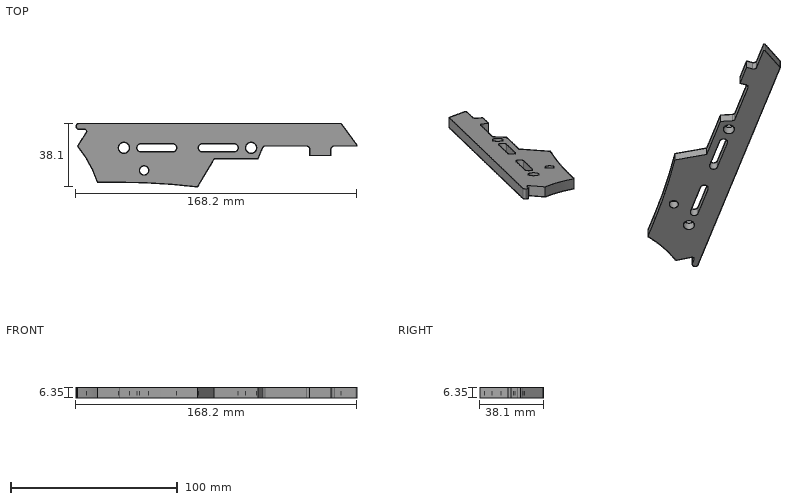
import cadquery as cq
import math

length = 168.23
height = 38.09
thickness = 6.35

blade_y = -13.6
nose_tip_radius = 0.5
nose_angle = math.radians(53.8)
nose_corner_x = length + nose_tip_radius * (1 / math.tan(nose_angle / 2) - 1)
nose_top_x = nose_corner_x + blade_y / math.tan(nose_angle)

tab_width = 12.7
tab_left_x = 139.9
tab_right_x = tab_left_x + tab_width
tab_bottom_y = -19.25
tab_root_radius = 2.0

step_y = -21.3
step_top_x = 112.1
step_right_x = 108.9
step_left_x = 82.7
step_root_radius = 1.6

heel_x = 72.7
flat_left_x = 12.75
flat_y = -35.3
flat_right_x = 25.9
shoulder_x = 0.8
shoulder_y = -13.6
back_hollow = 1.15

hook_height = 3.55
hook_radius = 1.6
notch_corner_x = 7.2
notch_radius = 1.2

row_y = -14.6
row_center_x = 66.7
hole_spacing = 76.2
hole_diameter = 6.5
slot_spacing = 36.8
slot_length = 23.8
slot_width = 4.7
lower_hole_x = 40.7
lower_hole_y = -28.15
lower_hole_diameter = 5.4


def sole_arc_middle():
    """A point halfway along X on the shallow arc that leaves the flat tangentially."""
    run = heel_x - flat_right_x
    drop = flat_y + height
    radius = (run**2 + drop**2) / (2 * drop)
    half_run = run / 2
    return flat_right_x + half_run, flat_y - radius + math.sqrt(radius**2 - half_run**2)


def back_arc_middle():
    """Middle point of the back arc, which is hollowed into the body."""
    chord_x = flat_left_x - shoulder_x
    chord_y = flat_y - shoulder_y
    chord = math.hypot(chord_x, chord_y)
    middle_x = (shoulder_x + flat_left_x) / 2 - back_hollow * chord_y / chord
    middle_y = (shoulder_y + flat_y) / 2 + back_hollow * chord_x / chord
    return middle_x, middle_y


def round_corner(plate, x, y, radius):
    """Round the upright edge that stands at (x, y)."""
    nearest = cq.selectors.NearestToPointSelector((x, y, thickness / 2))
    return plate.edges("|Z").edges(nearest).fillet(radius)


def make_plate():
    plate = (
        cq.Workplane("XY")
        .moveTo(0, 0)
        .lineTo(nose_top_x, 0)
        .lineTo(nose_corner_x, blade_y)
        .lineTo(tab_right_x, blade_y)
        .lineTo(tab_right_x, tab_bottom_y)
        .lineTo(tab_left_x, tab_bottom_y)
        .lineTo(tab_left_x, blade_y)
        .lineTo(step_top_x, blade_y)
        .lineTo(step_right_x, step_y)
        .lineTo(step_left_x, step_y)
        .lineTo(heel_x, -height)
        .threePointArc(sole_arc_middle(), (flat_right_x, flat_y))
        .lineTo(flat_left_x, flat_y)
        .threePointArc(back_arc_middle(), (shoulder_x, shoulder_y))
        .lineTo(notch_corner_x, -hook_height)
        .lineTo(0, -hook_height)
        .close()
        .extrude(thickness)
    )
    rounded_corners = [
        (nose_corner_x, blade_y, nose_tip_radius),
        (tab_right_x, blade_y, tab_root_radius),
        (tab_left_x, blade_y, tab_root_radius),
        (step_top_x, blade_y, step_root_radius),
        (notch_corner_x, -hook_height, notch_radius),
        (0, -hook_height, hook_radius),
        (0, 0, hook_radius),
    ]
    for x, y, radius in rounded_corners:
        plate = round_corner(plate, x, y, radius)
    return plate


def cut_openings(plate):
    base = cq.Workplane("XY")
    holes = base.pushPoints(mirrored_pair(hole_spacing)).circle(hole_diameter / 2).extrude(thickness)
    slots = base.pushPoints(mirrored_pair(slot_spacing)).slot2D(slot_length, slot_width).extrude(thickness)
    lower_hole = base.center(lower_hole_x, lower_hole_y).circle(lower_hole_diameter / 2).extrude(thickness)
    return plate.cut(holes).cut(slots).cut(lower_hole)


def mirrored_pair(spacing):
    """Two points on the opening row, the given distance apart."""
    return [(row_center_x + side * spacing / 2, row_y) for side in (-1, 1)]


result = cut_openings(make_plate())